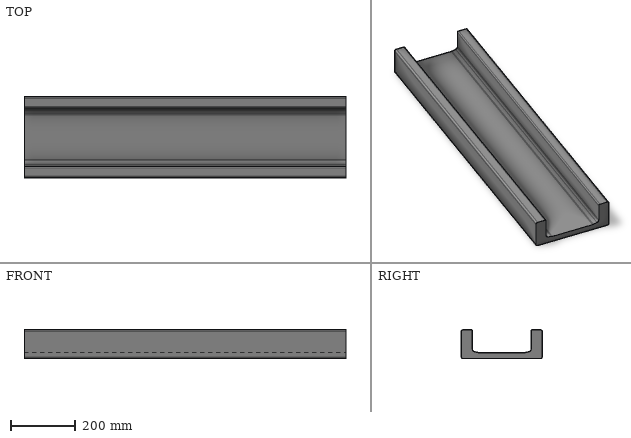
import cadquery as cq

length = 1000.0
width = 252.0
height = 90.0

wall_thickness = 35.0
floor_thickness = 19.0
edge_radius = 6.0
lip_radius = 4.0
root_radius = 8.0
slope_run = 20.0
blend_radius = 10.0
slope_rise = 5.0

inner_width = width - 2 * wall_thickness


def make_bar():
    """Solid bar along X with all four long edges rounded."""
    bar = cq.Workplane("XY").box(length, width, height)
    return bar.edges("|X").fillet(edge_radius)


def make_trough():
    """Full-length open trough with a flat floor, blended sloped margins and rounded roots."""
    half_gap = inner_width / 2
    half_floor = half_gap - slope_run
    floor_z = floor_thickness - height / 2
    slope_top_z = floor_z + slope_rise
    profile = [
        (-half_gap, height / 2),
        (-half_gap, slope_top_z),
        (-half_floor, floor_z),
        (half_floor, floor_z),
        (half_gap, slope_top_z),
        (half_gap, height / 2),
    ]
    trough = cq.Workplane("YZ").polyline(profile).close().extrude(length / 2, both=True)
    for side in (-1, 1):
        root = cq.selectors.NearestToPointSelector((0, side * half_gap, slope_top_z))
        trough = trough.edges(root).fillet(root_radius)
        floor_edge = cq.selectors.NearestToPointSelector((0, side * half_floor, floor_z))
        trough = trough.edges(floor_edge).fillet(blend_radius)
    return trough


def round_lips(channel):
    """Round the inner top edge of each side wall."""
    half_gap = inner_width / 2
    for side in (-1, 1):
        lip = cq.selectors.NearestToPointSelector((0, side * half_gap, height / 2))
        channel = channel.edges(lip).fillet(lip_radius)
    return channel


result = round_lips(make_bar().cut(make_trough()))